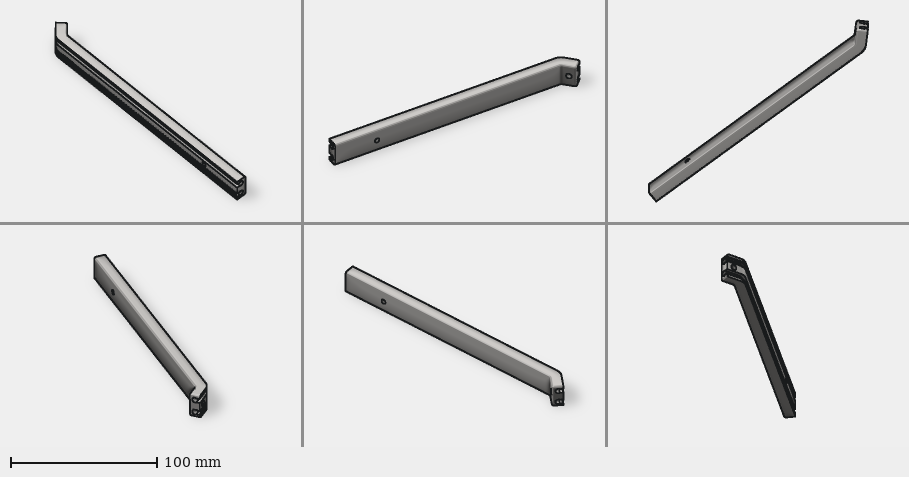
import cadquery as cq
import math

length = 191.8
height = 18.0
rise = 15.1
thickness = 8.0

bend_angle = math.radians(45)
outer_bend_radius = 8.2
inner_bend_radius = 6.0 / 2

edge_radius = 1.7
slot_width = 3.3
slot_floor_radius = 2.0
slot_depth = 5.5
rail_width = 6.3
lip_chamfer = 0.5

hole_diameter = 3.5
hole_x = 158.5
end_hole_diameter = 4.0
end_hole_inset = 5.5

corner_loss = edge_radius * (math.sin(bend_angle) + math.cos(bend_angle) - 1)
end_corner_y = rise + corner_loss - thickness * math.cos(bend_angle)
corner_x = end_corner_y / math.tan(bend_angle)
bend_start_x = corner_x + outer_bend_radius * math.tan(bend_angle / 2)
arc_end_x = bend_start_x - outer_bend_radius * math.sin(bend_angle)
arc_end_y = outer_bend_radius * (1 - math.cos(bend_angle))
arc_mid_x = bend_start_x - outer_bend_radius * math.sin(bend_angle / 2)
arc_mid_y = outer_bend_radius * (1 - math.cos(bend_angle / 2))


def sweep_along_bar(profile):
    """Sweep a profile from the straight end, along the front face, to the bent end."""
    path = (
        cq.Workplane("XY")
        .moveTo(length, 0)
        .lineTo(bend_start_x, 0)
        .threePointArc((arc_mid_x, arc_mid_y), (arc_end_x, arc_end_y))
        .lineTo(0, end_corner_y)
    )
    return profile.sweep(path)


def profile_plane():
    """Plane of the straight end face, with local axes along Y and Z."""
    return cq.Workplane("YZ", origin=(length, 0, 0))


def upright_edge(x, y):
    """Selector for the vertical edge at (x, y)."""
    return cq.selectors.NearestToPointSelector((x, y, 0))


def make_bar():
    rear_bend_x = corner_x + thickness * math.tan(bend_angle / 2)
    rear_end_x = thickness * math.sin(bend_angle)
    rear_end_y = end_corner_y + thickness * math.cos(bend_angle)
    bar = (
        cq.Workplane("XY")
        .moveTo(length, 0)
        .lineTo(corner_x, 0)
        .lineTo(0, end_corner_y)
        .lineTo(rear_end_x, rear_end_y)
        .lineTo(rear_bend_x, thickness)
        .lineTo(length, thickness)
        .close()
        .extrude(height / 2, both=True)
    )
    bar = bar.edges(upright_edge(corner_x, 0)).fillet(outer_bend_radius)
    bar = bar.edges(upright_edge(rear_bend_x, thickness)).fillet(inner_bend_radius)
    bar = bar.edges(upright_edge(rear_end_x, rear_end_y)).fillet(edge_radius)
    rear_edges = bar.faces("<Z or >Z").edges("|X").edges(">Y")
    return rear_edges.fillet(edge_radius)


def make_slot(side):
    """Keyhole-shaped slot above (side = 1) or below (side = -1) the centre rail."""
    rail_z = side * rail_width / 2
    wall_z = side * (rail_width / 2 + slot_width)
    middle_z = (rail_z + wall_z) / 2
    half_chord = math.sqrt(slot_floor_radius**2 - (slot_width / 2) ** 2)
    round_start_y = slot_depth - slot_floor_radius - half_chord
    section = (
        profile_plane()
        .moveTo(0, rail_z)
        .lineTo(round_start_y, rail_z)
        .threePointArc((slot_depth, middle_z), (round_start_y, wall_z))
        .lineTo(lip_chamfer, wall_z)
        .lineTo(0, wall_z + side * lip_chamfer)
        .close()
    )
    return sweep_along_bar(section)


def make_hole(x, y, angle, diameter):
    """Through hole drilled square to the front face at (x, y)."""
    direction = cq.Vector(math.sin(angle), math.cos(angle), 0)
    start = cq.Vector(x, y, 0) - direction * thickness
    return cq.Solid.makeCylinder(diameter / 2, 3 * thickness, start, direction)


end_hole_x = end_hole_inset * math.cos(bend_angle)
end_hole_y = end_corner_y - end_hole_inset * math.sin(bend_angle)

result = make_bar()
for side in (1, -1):
    result = result.cut(make_slot(side))
result = result.cut(make_hole(hole_x, 0, 0, hole_diameter))
result = result.cut(make_hole(end_hole_x, end_hole_y, bend_angle, end_hole_diameter))